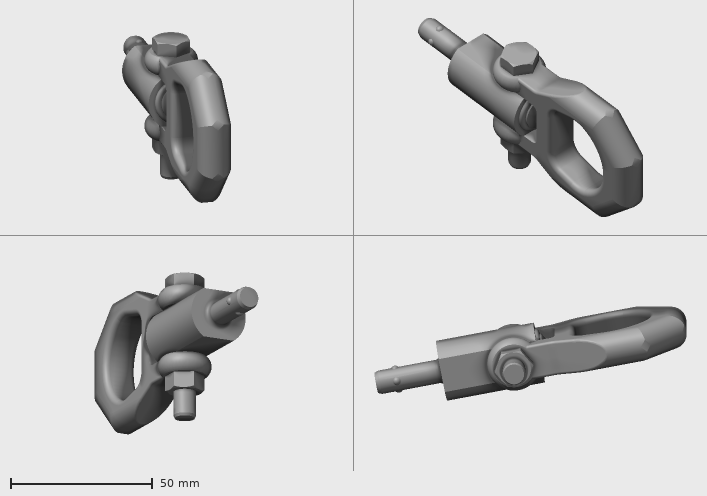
import cadquery as cq
import math


BODY_DIAMETER = 21.5
BODY_RADIUS = BODY_DIAMETER / 2
BODY_FLAT_HALF = 8.9
BODY_BACK_X = -25.9
BODY_FRONT_X = 9.0
SHANK_DIAMETER = 8.3
SHANK_RADIUS = SHANK_DIAMETER / 2
SHANK_TIP_X = -49.4
TIP_CHAMFER_LENGTH = 1.5
TIP_CHAMFER_DEPTH = 0.6
SHANK_FILLET = 1.5
BALL_RADIUS = 1.6
BALL_X = -41.9
BALL_OFFSET = 3.3
CAP_RADIUS = 8.5
CAP_THICKNESS = 1.3
CAP_FILLET = 1.2
BUTTON_RADIUS = 6.5
BUTTON_RIM = 0.7
BUTTON_DOME = 1.3
BUTTON_FACE_RADIUS = 4.0

BOLT_RADIUS = 4.0
BOLT_END_Z = -31.3
BOLT_CHAMFER_LENGTH = 1.0
BOLT_CHAMFER_DEPTH = 0.5
HEX_ACROSS_FLATS = 12.0
HEAD_HEIGHT = 4.8
NUT_HEIGHT = 5.8
HEX_CHAMFER_SLOPE = math.tan(math.radians(30))

EAR_INNER_Z = BODY_FLAT_HALF
EAR_HEIGHT = 6.9
EAR_OUTER_Z = EAR_INNER_Z + EAR_HEIGHT
EAR_FACE_RADIUS = 7.7
EAR_RADIUS = 9.5

HALF_THICKNESS = 6.1
RING_APOTHEM = 24.5
RING_END_X = 61.9
RING_X = RING_END_X - RING_APOTHEM
RING_CORNER_RADIUS = 5.0
NECK_START_X = 14.6
NECK_ANGLE = math.radians(25)
NECK_BEND_RADIUS = 5.0
ARM_EDGE_FILLET = 1.0
SLOT_END_X = 15.7
SLOT_CORNER_RADIUS = 2.5

EYE_FLAT_X = 22.8
EYE_CORNER_RADIUS = 5.0
EYE_SLOPE = math.radians(13)
EYE_CROWN_RADIUS = 10.0
EYE_CROWN_END = math.radians(22.5)
EYE_BOW_RADIUS = 15.6
EYE_BOW_X = 33.9
EYE_EDGE_FILLET = 2.0

SELECTION_MARGIN = 1.1


def revolved_about_x(points):
    """Turn a closed (x, radius) outline about the pin axis."""
    return cq.Workplane("XY").polyline(points).close().revolve(360, (0, 0, 0), (1, 0, 0))


def make_barrel():
    """Round barrel with flats above and below, where the ears bear on it."""
    length = BODY_FRONT_X - BODY_BACK_X
    barrel = cq.Workplane("YZ", origin=(BODY_BACK_X, 0, 0)).circle(BODY_RADIUS).extrude(length)
    flats = cq.Workplane("XY").box(4 * length, 4 * BODY_RADIUS, 2 * BODY_FLAT_HALF)
    return barrel.intersect(flats)


def make_shank():
    """Shank with a chamfered tip and a concave fillet at the barrel."""
    mid_angle = math.radians(45)
    fillet_start = (BODY_BACK_X - SHANK_FILLET, SHANK_RADIUS)
    fillet_middle = (
        fillet_start[0] + SHANK_FILLET * math.sin(mid_angle),
        SHANK_RADIUS + SHANK_FILLET * (1 - math.cos(mid_angle)),
    )
    fillet_end = (BODY_BACK_X, SHANK_RADIUS + SHANK_FILLET)
    return (
        cq.Workplane("XY")
        .moveTo(SHANK_TIP_X, 0)
        .lineTo(SHANK_TIP_X, SHANK_RADIUS - TIP_CHAMFER_DEPTH)
        .lineTo(SHANK_TIP_X + TIP_CHAMFER_LENGTH, SHANK_RADIUS)
        .lineTo(*fillet_start)
        .threePointArc(fillet_middle, fillet_end)
        .lineTo(BODY_BACK_X, 0)
        .close()
        .revolve(360, (0, 0, 0), (1, 0, 0))
    )


def make_cap():
    """Rounded disc and domed release button on the ring end of the barrel."""
    disc = (
        cq.Workplane("YZ", origin=(BODY_FRONT_X, 0, 0))
        .circle(CAP_RADIUS)
        .extrude(CAP_THICKNESS)
        .faces(">X")
        .edges()
        .fillet(CAP_FILLET)
    )
    disc_x = BODY_FRONT_X + CAP_THICKNESS
    rim_x = disc_x + BUTTON_RIM
    face_x = rim_x + BUTTON_DOME
    button = revolved_about_x([
        (disc_x, 0),
        (disc_x, BUTTON_RADIUS),
        (rim_x, BUTTON_RADIUS),
        (face_x, BUTTON_FACE_RADIUS),
        (face_x, 0),
    ])
    return disc.union(button)


def make_pin_body():
    """Barrel, shank with four locking balls, and cap, bored through for the bolt."""
    body = make_barrel().union(make_shank()).union(make_cap())
    for y, z in [(1, 0), (-1, 0), (0, 1), (0, -1)]:
        ball = cq.Workplane("XY").sphere(BALL_RADIUS)
        body = body.union(ball.translate((BALL_X, y * BALL_OFFSET, z * BALL_OFFSET)))
    bolt_hole = cq.Workplane("XY").circle(BOLT_RADIUS).extrude(2 * BODY_RADIUS, both=True)
    return body.cut(bolt_hole)


def edges_in_x_range(start_x, end_x, half_height=2 * RING_APOTHEM):
    """Selector for edges centred between two X positions and within a height of the ring's mid-plane."""
    half_depth = 2 * HALF_THICKNESS
    return cq.selectors.BoxSelector(
        (start_x, -half_depth, -half_height),
        (end_x, half_depth, half_height),
    )


def make_outline_plate():
    """Flat plate with the outer outline of arms, neck and octagonal ring."""
    half_side = RING_APOTHEM * math.tan(math.radians(22.5))
    neck_end_x = NECK_START_X + (RING_APOTHEM - EAR_OUTER_Z) / math.tan(NECK_ANGLE)
    upper = [
        (0, EAR_OUTER_Z),
        (NECK_START_X, EAR_OUTER_Z),
        (neck_end_x, RING_APOTHEM),
        (RING_X + half_side, RING_APOTHEM),
        (RING_END_X, half_side),
    ]
    lower = [(x, -z) for x, z in reversed(upper)]
    plate = (
        cq.Workplane("XZ")
        .polyline(upper + lower)
        .close()
        .extrude(HALF_THICKNESS, both=True)
    )
    corners = edges_in_x_range(RING_X, RING_END_X + SELECTION_MARGIN)
    bends = edges_in_x_range(NECK_START_X - SELECTION_MARGIN, NECK_START_X + SELECTION_MARGIN)
    plate = plate.edges("|Y").edges(corners).fillet(RING_CORNER_RADIUS)
    return plate.edges("|Y").edges(bends).fillet(NECK_BEND_RADIUS)


def make_round_edged_slab(angle):
    """Long slab whose far edge is a half round tangent to one side of the octagon."""
    reach = 3 * RING_APOTHEM
    straight = RING_APOTHEM - HALF_THICKNESS
    slab = (
        cq.Workplane("XY")
        .moveTo(-reach, -HALF_THICKNESS)
        .lineTo(straight, -HALF_THICKNESS)
        .threePointArc((RING_APOTHEM, 0), (straight, HALF_THICKNESS))
        .lineTo(-reach, HALF_THICKNESS)
        .close()
        .extrude(reach, both=True)
    )
    return slab.rotate((0, 0, 0), (0, 1, 0), -angle).translate((RING_X, 0, 0))


def make_eye_cutter():
    """Ring opening: flat at the neck, sloped shoulders, crowns and a round bow."""
    crown_gap = EYE_BOW_RADIUS - EYE_CROWN_RADIUS
    crown_x = EYE_BOW_X + crown_gap * math.sin(EYE_CROWN_END)
    crown_z = crown_gap * math.cos(EYE_CROWN_END)
    corner_x = EYE_FLAT_X + EYE_CORNER_RADIUS
    corner_z = (
        crown_z
        - (crown_x - corner_x) * math.tan(EYE_SLOPE)
        + (EYE_CROWN_RADIUS - EYE_CORNER_RADIUS) / math.cos(EYE_SLOPE)
    )

    def corner(angle):
        x = corner_x + EYE_CORNER_RADIUS * math.sin(angle)
        z = corner_z + EYE_CORNER_RADIUS * math.cos(angle)
        return (x, z)

    def crown(angle):
        x = crown_x + EYE_CROWN_RADIUS * math.sin(angle)
        z = crown_z + EYE_CROWN_RADIUS * math.cos(angle)
        return (x, z)

    def mirrored(point):
        return (point[0], -point[1])

    corner_middle = corner(-(math.pi / 2 + EYE_SLOPE) / 2)
    bow_tip = (EYE_BOW_X + EYE_BOW_RADIUS, 0)
    return (
        cq.Workplane("XZ")
        .moveTo(EYE_FLAT_X, -corner_z)
        .lineTo(EYE_FLAT_X, corner_z)
        .threePointArc(corner_middle, corner(-EYE_SLOPE))
        .lineTo(*crown(-EYE_SLOPE))
        .threePointArc(crown(0), crown(EYE_CROWN_END))
        .threePointArc(bow_tip, mirrored(crown(EYE_CROWN_END)))
        .threePointArc(mirrored(crown(0)), mirrored(crown(-EYE_SLOPE)))
        .lineTo(*mirrored(corner(-EYE_SLOPE)))
        .threePointArc(mirrored(corner_middle), (EYE_FLAT_X, -corner_z))
        .close()
        .extrude(HALF_THICKNESS, both=True)
    )


def make_slot_cutter():
    """Gap between the arms, rounded at its inner corners."""
    return (
        cq.Workplane("XY")
        .box(2 * SLOT_END_X, 4 * HALF_THICKNESS, 2 * EAR_INNER_Z)
        .edges("|Y and >X")
        .fillet(SLOT_CORNER_RADIUS)
    )


def make_ring():
    """Ring and arms: round outer edge, softened neck edges, rounded eye and slot for the pin body."""
    ring = make_outline_plate()
    for angle in (-90, -45, 0, 45, 90):
        ring = ring.intersect(make_round_edged_slab(angle))
    for side in (1, -1):
        neck_normal = cq.Vector(-math.sin(NECK_ANGLE), 0, side * math.cos(NECK_ANGLE))
        neck_face = cq.selectors.DirectionMinMaxSelector(neck_normal, True)
        ring = ring.faces(neck_face).edges("not |Y").fillet(ARM_EDGE_FILLET)
    ring = ring.cut(make_eye_cutter())
    eye_end_x = EYE_BOW_X + EYE_BOW_RADIUS
    rim = edges_in_x_range(EYE_FLAT_X - SELECTION_MARGIN, eye_end_x + SELECTION_MARGIN, EYE_BOW_RADIUS)
    ring = ring.faces("<Y or >Y").edges(rim).fillet(EYE_EDGE_FILLET)
    return ring.cut(make_slot_cutter())


def make_ear(side):
    """Barrel-edged boss around the bolt; side is 1 for the upper and -1 for the lower ear."""
    inner = side * EAR_INNER_Z
    outer = side * EAR_OUTER_Z
    middle = (inner + outer) / 2
    return (
        cq.Workplane("XZ")
        .moveTo(0, inner)
        .lineTo(EAR_FACE_RADIUS, inner)
        .threePointArc((EAR_RADIUS, middle), (EAR_FACE_RADIUS, outer))
        .lineTo(0, outer)
        .close()
        .revolve(360, (0, 0, 0), (0, 1, 0))
    )


def make_hex(height):
    """Hexagon standing on Z = 0 with its top corners turned off to a circle."""
    corner_radius = HEX_ACROSS_FLATS / math.sqrt(3)
    flat_radius = HEX_ACROSS_FLATS / 2
    chamfer = (corner_radius - flat_radius) * HEX_CHAMFER_SLOPE
    prism = cq.Workplane("XY").polygon(6, 2 * corner_radius).extrude(height)
    envelope = (
        cq.Workplane("XZ")
        .polyline([
            (0, 0),
            (corner_radius, 0),
            (corner_radius, height - chamfer),
            (flat_radius, height),
            (0, height),
        ])
        .close()
        .revolve(360, (0, 0, 0), (0, 1, 0))
    )
    return prism.intersect(envelope)


def make_bolt():
    """Cross bolt with its head above the upper ear and its nut below the lower ear."""
    stem = (
        cq.Workplane("XY", origin=(0, 0, BOLT_END_Z))
        .circle(BOLT_RADIUS)
        .extrude(EAR_OUTER_Z - BOLT_END_Z)
        .faces("<Z")
        .chamfer(BOLT_CHAMFER_LENGTH, BOLT_CHAMFER_DEPTH)
    )
    head = make_hex(HEAD_HEIGHT).translate((0, 0, EAR_OUTER_Z))
    nut = make_hex(NUT_HEIGHT).rotate((0, 0, 0), (1, 0, 0), 180).translate((0, 0, -EAR_OUTER_Z))
    return stem.union(head).union(nut)


def make_shackle():
    """Ring, both ears and the cross bolt as one solid."""
    shackle = make_ring()
    for side in (1, -1):
        shackle = shackle.union(make_ear(side))
    return shackle.union(make_bolt())


pin_body = make_pin_body()
shackle = make_shackle()

result = cq.Compound.makeCompound([pin_body.val(), shackle.val()])